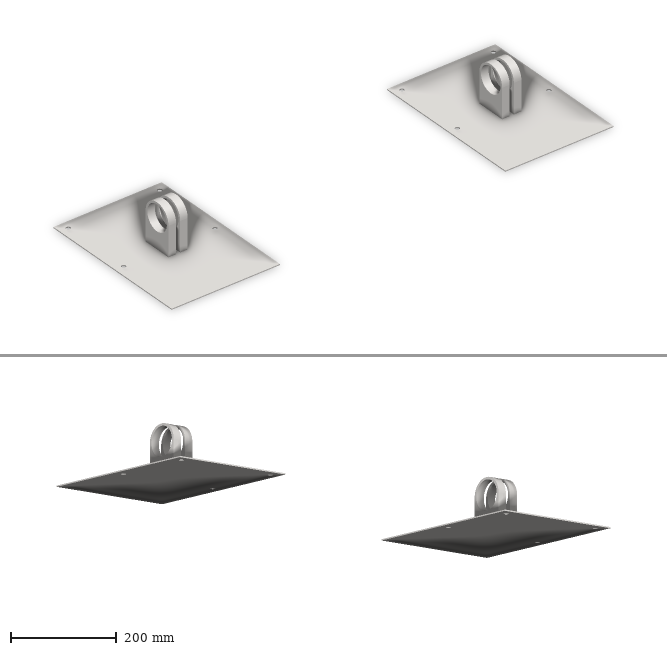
import cadquery as cq

overall_length = 1059.0
plate_length_x = 366.0
plate_width_y = 259.0
plate_thickness = 2.5
plate_spacing = overall_length - plate_width_y

mount_hole_diameter = 10.0
hole_edge_distance = 20.0
hole_column_pitch = 172.0
first_column_x = -plate_length_x / 2 + hole_edge_distance
hole_columns_x = (first_column_x, first_column_x + hole_column_pitch)
hole_row_y = plate_width_y / 2 - hole_edge_distance

top_z = 108.0
lug_width = 71.0
lug_thickness = 18.0
lug_gap = 10.0
lug_corner_radius = 35.0
bore_diameter = 60.0
bore_center_z = top_z - lug_corner_radius
lug_height = top_z - plate_thickness
lug_center_y = (lug_gap + lug_thickness) / 2


def make_plate():
    """Thin rectangular plate with four through holes."""
    hole_points = [(x, y) for x in hole_columns_x for y in (-hole_row_y, hole_row_y)]
    plate = cq.Workplane("XY").box(
        plate_length_x, plate_width_y, plate_thickness, centered=(True, True, False)
    )
    return plate.faces(">Z").workplane().pushPoints(hole_points).hole(mount_hole_diameter)


def make_lug(center_y):
    """One cheek standing on the plate, bored along Y."""
    lug = (
        cq.Workplane("XY", origin=(0, center_y, plate_thickness))
        .box(lug_width, lug_thickness, lug_height, centered=(True, True, False))
        .edges("|Y and >Z")
        .fillet(lug_corner_radius)
    )
    bore = (
        cq.Workplane("XZ", origin=(0, center_y, bore_center_z))
        .circle(bore_diameter / 2)
        .extrude(lug_thickness, both=True)
    )
    return lug.cut(bore)


def make_bracket(center_y):
    """Plate and its two lugs as one solid."""
    bracket = make_plate()
    for side in (-1, 1):
        bracket = bracket.union(make_lug(side * lug_center_y))
    return bracket.translate((0, center_y, 0))


brackets = [make_bracket(side * plate_spacing / 2) for side in (-1, 1)]

result = cq.Compound.makeCompound([bracket.val() for bracket in brackets])